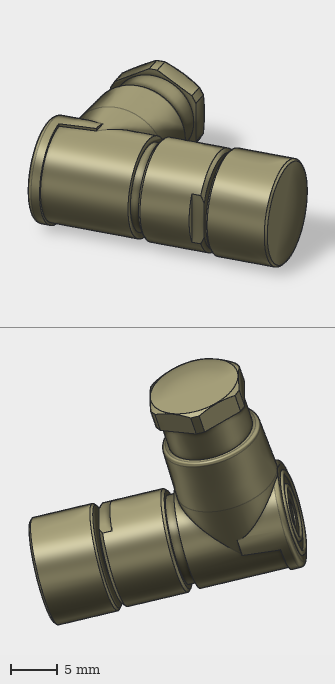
import cadquery as cq
import math


elbow_diameter = 11.4

cap_face_x = -elbow_diameter / 2
cap_flange_back_x = -4.2
cap_diameter = 12.0
cap_fillet = 0.5
tongue_slope_drop = 0.45
point_half_width = 2.1
point_depth = 0.45
point_flank_angle = 45.0

ring_outer_diameters = (9.6, 6.5)
ring_width = 0.6
ring_height = 0.3

recess_diameter = 3.0
recess_depth = 0.2

elbow_end_x = 6.05
groove_diameter = 10.0
sleeve_start_x = 7.2
sleeve_end_x = 14.7
sleeve_diameter = 11.6
sleeve_front_chamfer = 0.3
sleeve_rear_chamfer = 0.4
wrench_flat_start_x = 13.25
wrench_flat_width = 10.0
neck_diameter = 6.0
coupling_start_x = 15.2
coupling_end_x = 22.4
coupling_diameter = 12.0
coupling_chamfer = 0.25

arm_taper_start_y = 6.05
arm_end_y = 12.4
arm_end_diameter = 11.0
arm_fillet = 0.4
gland_diameter = 9.5
hex_start_y = 16.35
hex_end_y = 18.85
hex_across_flats = 10.0
hex_corner_width = 11.0
hex_chamfer_start_radius = 4.95
hex_chamfer_angle = 30.0


def x_cylinder(diameter, start_x, end_x):
    """Round bar on the main axis."""
    return cq.Workplane("YZ", origin=(start_x, 0, 0)).circle(diameter / 2).extrude(end_x - start_x)


def y_plane(y):
    """Workplane across the arm, with its normal along +Y and local x along +X."""
    return cq.Workplane(cq.Plane(origin=(0, y, 0), xDir=(1, 0, 0), normal=(0, 1, 0)))


def y_cylinder(diameter, start_y, end_y):
    """Round bar on the arm axis."""
    return y_plane(start_y).circle(diameter / 2).extrude(end_y - start_y)


def make_cap():
    """Round-edged cap whose tongue reaches back to the arm axis on the +Y side."""
    radius = cap_diameter / 2
    cap = x_cylinder(cap_diameter, cap_face_x, 0).faces("<X").edges().fillet(cap_fillet)
    below_tongue = (
        cq.Workplane("XY")
        .moveTo(0, 0)
        .lineTo(cap_flange_back_x, -tongue_slope_drop)
        .lineTo(cap_flange_back_x, -radius)
        .lineTo(0, -radius)
        .close()
        .extrude(radius, both=True)
    )
    return cap.cut(below_tongue)


def make_point():
    """Pointed land that carries the cap face out to the cap edge on the +Y side."""
    face_radius = cap_diameter / 2 - cap_fillet
    base_y = math.sqrt(face_radius**2 - point_half_width**2)
    point = (
        cq.Workplane("YZ", origin=(cap_face_x, 0, 0))
        .polyline([(base_y, -point_half_width), (cap_diameter / 2, 0), (base_y, point_half_width)])
        .close()
        .extrude(point_depth, taper=-point_flank_angle)
    )
    return point.intersect(x_cylinder(cap_diameter, cap_face_x, 0))


def make_ring(outer_diameter):
    """Rounded ridge standing on the cap face."""
    outer_radius = outer_diameter / 2
    inner_radius = outer_radius - ring_width
    middle_radius = outer_radius - ring_width / 2
    return (
        cq.Workplane("XY")
        .moveTo(cap_face_x, inner_radius)
        .threePointArc((cap_face_x - ring_height, middle_radius), (cap_face_x, outer_radius))
        .close()
        .revolve(360, (0, 0, 0), (1, 0, 0))
    )


def make_sleeve():
    """Chamfered sleeve with two wrench flats facing -Y and +Y."""
    sleeve = (
        x_cylinder(sleeve_diameter, sleeve_start_x, sleeve_end_x)
        .faces("<X").edges().chamfer(sleeve_front_chamfer)
        .faces(">X").edges().chamfer(sleeve_rear_chamfer)
    )
    flat_length = sleeve_end_x - wrench_flat_start_x
    flat_depth = (sleeve_diameter - wrench_flat_width) / 2
    for side in (-1, 1):
        flat_center_y = side * (wrench_flat_width + flat_depth) / 2
        flat_cut = cq.Workplane("XY").box(flat_length, flat_depth, sleeve_diameter)
        sleeve = sleeve.cut(flat_cut.translate((wrench_flat_start_x + flat_length / 2, flat_center_y, 0)))
    return sleeve


def make_main_axis():
    """Elbow body, groove, sleeve, neck and coupling nut."""
    coupling = (
        x_cylinder(coupling_diameter, coupling_start_x, coupling_end_x)
        .faces("<X or >X").edges().chamfer(coupling_chamfer)
    )
    return (
        x_cylinder(elbow_diameter, cap_flange_back_x, elbow_end_x)
        .union(x_cylinder(groove_diameter, elbow_end_x, sleeve_start_x))
        .union(make_sleeve())
        .union(x_cylinder(neck_diameter, sleeve_end_x, coupling_start_x))
        .union(coupling)
    )


def make_arm():
    """Straight root and tapered, rounded end of the arm."""
    taper = (
        y_plane(arm_taper_start_y).circle(elbow_diameter / 2)
        .workplane(offset=arm_end_y - arm_taper_start_y).circle(arm_end_diameter / 2)
        .loft(ruled=True)
        .faces(">Y").edges().fillet(arm_fillet)
    )
    return y_cylinder(elbow_diameter, 0, arm_taper_start_y).union(taper)


def hexagon_prism(across_flats):
    """Hexagonal prism on the arm axis with corners on +Z and -Z."""
    corner_diameter = across_flats / math.cos(math.pi / 6)
    prism = y_plane(hex_start_y).polygon(6, corner_diameter).extrude(hex_end_y - hex_start_y)
    return prism.rotate((0, 0, 0), (0, 1, 0), 90)


def make_gland_nut():
    """Hexagonal nut with truncated corners and a conical chamfer on the outer end."""
    corner_cutter = hexagon_prism(hex_corner_width).rotate((0, 0, 0), (0, 1, 0), 30)
    nut = hexagon_prism(hex_across_flats).intersect(corner_cutter)
    envelope_radius = hex_corner_width
    cone_drop = (envelope_radius - hex_chamfer_start_radius) * math.tan(math.radians(hex_chamfer_angle))
    chamfer_envelope = (
        cq.Workplane("XY")
        .moveTo(0, hex_end_y)
        .lineTo(hex_chamfer_start_radius, hex_end_y)
        .lineTo(envelope_radius, hex_end_y - cone_drop)
        .lineTo(envelope_radius, 0)
        .lineTo(0, 0)
        .close()
        .revolve(360, (0, 0, 0), (0, 1, 0))
    )
    return nut.intersect(chamfer_envelope)


result = (
    make_main_axis()
    .union(make_arm())
    .union(make_cap())
    .union(make_point())
    .union(y_cylinder(gland_diameter, arm_end_y, hex_start_y))
    .union(make_gland_nut())
)
for ring_diameter in ring_outer_diameters:
    result = result.union(make_ring(ring_diameter))
result = result.cut(x_cylinder(recess_diameter, cap_face_x, cap_face_x + recess_depth))